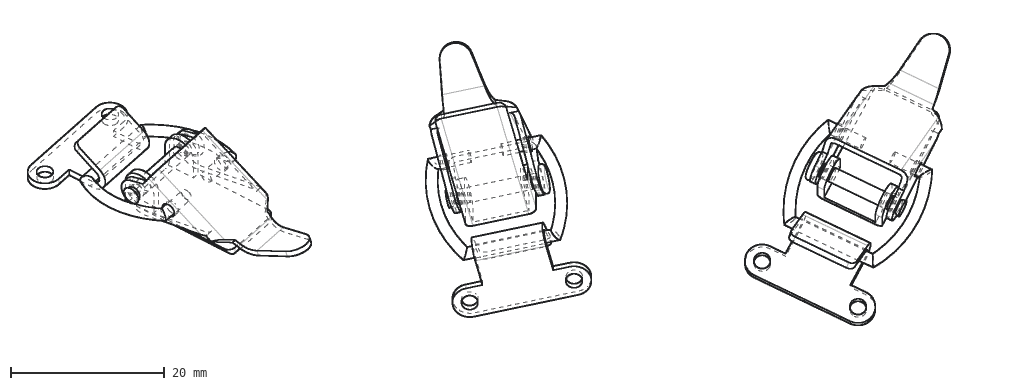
import cadquery as cq
import math


def polar(center, radius, degrees):
    """Point at a distance from a centre, in a direction counted from the first axis."""
    angle = math.radians(degrees)
    return (center[0] + radius * math.cos(angle), center[1] + radius * math.sin(angle))


KEEPER_THICKNESS = 1.0
KEEPER_LENGTH = 18.5
KEEPER_WIDTH = 4.5
KEEPER_HOLE_DIAMETER = 2.15
TONGUE_WIDTH = 9.5
HOOK_X = 8.4
HOOK_INNER_RADIUS = 1.0
HOOK_OUTER_RADIUS = HOOK_INNER_RADIUS + KEEPER_THICKNESS
HOOK_SLOPE = 32.5
HOOK_LEG_LENGTH = 4.7
HOOK_CORNER_RADIUS = 0.85

BASE_START_X = 13.7
BASE_END_X = 30.8
BASE_WIDTH = TONGUE_WIDTH
BASE_THICKNESS = 1.0
BASE_CORNER_RADIUS = 1.0
EAR_RADIUS = 2.3

PIVOT_X = BASE_START_X + EAR_RADIUS
PIVOT_Z = 4.03
PIN_RADIUS = 1.0
PIN_HEAD_RADIUS = 2.0
PIN_HEAD_HEIGHT = 0.8
PIN_TAIL_RADIUS = 1.2
PIN_TAIL_HEIGHT = 0.55

LEVER_SLOPE = 31.2
LEVER_WIDTH = 11.97
LEVER_THICKNESS = 0.8
LEVER_TOP = 5.9
LEVER_BEND_RADIUS = 1.28
LEVER_EAR_RADIUS = 2.05
LEVER_EAR_SLOPE = 45.0
WALL_EDGE_U = 2.35
WALL_EDGE_SLOPE = 41.0
WALL_EDGE_RADIUS = 3.0
SHOULDER_START_U = 11.57
SHOULDER_END_U = 13.55

TAB_ROOT_WIDTH = 6.95
TAB_BEND_U = 14.4
TAB_BEND_INNER_RADIUS = 2.65
TAB_BEND_ANGLE = 52.5
TAB_BEND_START_WIDTH = 6.62
TAB_BEND_END_WIDTH = 5.7
TAB_LENGTH = 6.35
TAB_TIP_RADIUS = 2.15
TAB_TAPER = 7.7

WIRE_RADIUS = 0.8
WIRE_HOLE_RADIUS = 1.0
BAIL_HOOK_Z = 2.15
BAIL_LEVER_X = 21.65
BAIL_LEVER_Z = 4.15
BAIL_BULGE_HALF_WIDTH = 8.25
BAIL_BULGE_DISTANCE = 7.65
BAIL_ARC_RADIUS = 14.45
BAIL_END_Y = 2.15


def make_keeper():
    plate = (
        cq.Workplane("XY")
        .center(KEEPER_WIDTH / 2, 0)
        .slot2D(KEEPER_LENGTH, KEEPER_WIDTH, 90)
        .extrude(KEEPER_THICKNESS)
    )
    hook_center = (HOOK_X, HOOK_OUTER_RADIUS)
    leg_normal = 90 - HOOK_SLOPE
    leg_direction = 180 - HOOK_SLOPE
    bend_middle = (leg_normal - 90) / 2
    outer_end = polar(hook_center, HOOK_OUTER_RADIUS, leg_normal)
    inner_end = polar(hook_center, HOOK_INNER_RADIUS, leg_normal)
    tongue = (
        cq.Workplane("XZ", origin=(0, TONGUE_WIDTH / 2, 0))
        .moveTo(KEEPER_WIDTH / 2, 0)
        .lineTo(HOOK_X, 0)
        .threePointArc(polar(hook_center, HOOK_OUTER_RADIUS, bend_middle), outer_end)
        .lineTo(*polar(outer_end, HOOK_LEG_LENGTH, leg_direction))
        .lineTo(*polar(inner_end, HOOK_LEG_LENGTH, leg_direction))
        .lineTo(*inner_end)
        .threePointArc(
            polar(hook_center, HOOK_INNER_RADIUS, bend_middle), (HOOK_X, KEEPER_THICKNESS)
        )
        .lineTo(KEEPER_WIDTH / 2, KEEPER_THICKNESS)
        .close()
        .extrude(TONGUE_WIDTH)
    )
    along_x, along_z = polar((0, 0), 1, leg_direction)
    normal_x, normal_z = polar((0, 0), 1, leg_normal)
    tongue = (
        tongue.faces(cq.selectors.DirectionMinMaxSelector(cq.Vector(along_x, 0, along_z), True))
        .edges(cq.selectors.ParallelDirSelector(cq.Vector(normal_x, 0, normal_z)))
        .fillet(HOOK_CORNER_RADIUS)
    )
    hole_spacing = KEEPER_LENGTH - KEEPER_WIDTH
    holes = (
        cq.Workplane("XY")
        .center(KEEPER_WIDTH / 2, 0)
        .rarray(0.4, hole_spacing, 1, 2)
        .circle(KEEPER_HOLE_DIAMETER / 2)
        .extrude(KEEPER_THICKNESS)
    )
    return plate.union(tongue).cut(holes)


def make_base():
    length = BASE_END_X - BASE_START_X
    height = PIVOT_Z + EAR_RADIUS
    middle = cq.Workplane("XY", origin=(BASE_START_X + length / 2, 0, 0))
    floor = (
        middle.rect(length, BASE_WIDTH)
        .extrude(BASE_THICKNESS)
        .edges("|Z and >X")
        .fillet(BASE_CORNER_RADIUS)
    )
    ears = (
        cq.Workplane("XZ", origin=(PIVOT_X, BASE_WIDTH / 2, 0))
        .moveTo(-EAR_RADIUS, 0)
        .lineTo(EAR_RADIUS, 0)
        .lineTo(EAR_RADIUS, PIVOT_Z)
        .threePointArc((0, height), (-EAR_RADIUS, PIVOT_Z))
        .close()
        .extrude(BASE_WIDTH)
    )
    between_ears = (
        cq.Workplane("XY", origin=(PIVOT_X, 0, BASE_THICKNESS))
        .rect(2 * EAR_RADIUS, BASE_WIDTH - 2 * BASE_THICKNESS)
        .extrude(height)
    )
    rounded_envelope = (
        middle.rect(length, BASE_WIDTH)
        .extrude(height)
        .edges("|X and <Z")
        .fillet(BASE_THICKNESS)
    )
    pin_hole = (
        cq.Workplane("XZ", origin=(PIVOT_X, BASE_WIDTH / 2, PIVOT_Z))
        .circle(PIN_RADIUS)
        .extrude(BASE_WIDTH)
    )
    return floor.union(ears).intersect(rounded_envelope).cut(between_ears).cut(pin_hole)


def make_lever_channel():
    """Sheet with two side walls, in the lever frame."""
    section_height = LEVER_TOP + LEVER_EAR_RADIUS
    length = TAB_BEND_U + LEVER_EAR_RADIUS

    def solid_channel(width, top, radius):
        return (
            cq.Workplane("YZ", origin=(-LEVER_EAR_RADIUS, 0, top - section_height / 2))
            .rect(width, section_height)
            .extrude(length)
            .edges("|X and >Z")
            .fillet(radius)
        )

    channel = solid_channel(LEVER_WIDTH, LEVER_TOP, LEVER_BEND_RADIUS).cut(
        solid_channel(
            LEVER_WIDTH - 2 * LEVER_THICKNESS,
            LEVER_TOP - LEVER_THICKNESS,
            LEVER_BEND_RADIUS - LEVER_THICKNESS,
        )
    )
    return channel.intersect(make_lever_side()).intersect(make_lever_plan())


def make_lever_side():
    """Side outline of the walls and the sheet, as a prism across the lever."""
    sheet_bottom = LEVER_TOP - LEVER_THICKNESS
    rise = sheet_bottom + LEVER_EAR_RADIUS
    wall_end_u = WALL_EDGE_U + rise / math.tan(math.radians(WALL_EDGE_SLOPE))
    tangent = WALL_EDGE_RADIUS * math.tan(math.radians(WALL_EDGE_SLOPE / 2))
    corner = (WALL_EDGE_U, -LEVER_EAR_RADIUS)
    round_center = (WALL_EDGE_U - tangent, WALL_EDGE_RADIUS - LEVER_EAR_RADIUS)
    return (
        cq.Workplane("XZ", origin=(0, LEVER_WIDTH / 2, 0))
        .moveTo(0, LEVER_TOP)
        .lineTo(0, LEVER_EAR_RADIUS / math.cos(math.radians(LEVER_EAR_SLOPE)))
        .lineTo(*polar((0, 0), LEVER_EAR_RADIUS, 90 + LEVER_EAR_SLOPE))
        .threePointArc((-LEVER_EAR_RADIUS, 0), (0, -LEVER_EAR_RADIUS))
        .lineTo(WALL_EDGE_U - tangent, -LEVER_EAR_RADIUS)
        .threePointArc(
            polar(round_center, WALL_EDGE_RADIUS, WALL_EDGE_SLOPE / 2 - 90),
            polar(corner, tangent, WALL_EDGE_SLOPE),
        )
        .lineTo(wall_end_u, sheet_bottom)
        .lineTo(TAB_BEND_U, sheet_bottom)
        .lineTo(TAB_BEND_U, LEVER_TOP)
        .close()
        .extrude(LEVER_WIDTH)
    )


def make_lever_plan():
    """Outline of the lever seen square to its sheet, as a prism."""
    return (
        cq.Workplane("XY", origin=(0, 0, -LEVER_EAR_RADIUS))
        .moveTo(-LEVER_EAR_RADIUS, 0)
        .lineTo(-LEVER_EAR_RADIUS, LEVER_WIDTH / 2)
        .lineTo(SHOULDER_START_U, LEVER_WIDTH / 2)
        .lineTo(SHOULDER_END_U, TAB_ROOT_WIDTH / 2)
        .lineTo(TAB_BEND_U, TAB_BEND_START_WIDTH / 2)
        .lineTo(TAB_BEND_U, 0)
        .mirrorX()
        .extrude(LEVER_TOP + LEVER_EAR_RADIUS)
    )


def make_tab():
    """Upturned finger tab, in the lever frame."""
    middle_radius = TAB_BEND_INNER_RADIUS + LEVER_THICKNESS / 2
    bend_center = (TAB_BEND_U, LEVER_TOP + TAB_BEND_INNER_RADIUS)
    start = polar(bend_center, middle_radius, -90)
    end = polar(bend_center, middle_radius, TAB_BEND_ANGLE - 90)
    tab_along = polar((0, 0), 1, TAB_BEND_ANGLE)
    end_plane = cq.Plane(
        origin=(end[0], 0, end[1]), xDir=(0, 1, 0), normal=(tab_along[0], 0, tab_along[1])
    )
    start_plane = cq.Plane(origin=(start[0], 0, start[1]), xDir=(0, 1, 0), normal=(1, 0, 0))
    path = (
        cq.Workplane("XZ")
        .moveTo(*start)
        .threePointArc(polar(bend_center, middle_radius, TAB_BEND_ANGLE / 2 - 90), end)
    )
    start_section = cq.Workplane(start_plane).rect(TAB_BEND_START_WIDTH, LEVER_THICKNESS).val()
    end_section = cq.Workplane(end_plane).rect(TAB_BEND_END_WIDTH, LEVER_THICKNESS).val()
    bend = cq.Workplane(cq.Solid.sweep_multi([start_section, end_section], path.val()))

    tip_center = (TAB_LENGTH - TAB_TIP_RADIUS, 0)
    tip_side = polar(tip_center, TAB_TIP_RADIUS, 90 - TAB_TAPER)
    lower = polar(bend_center, TAB_BEND_INNER_RADIUS + LEVER_THICKNESS, TAB_BEND_ANGLE - 90)
    tab_plane = cq.Plane(
        origin=(lower[0], 0, lower[1]),
        xDir=(tab_along[0], 0, tab_along[1]),
        normal=(-tab_along[1], 0, tab_along[0]),
    )
    straight = (
        cq.Workplane(tab_plane)
        .moveTo(0, -TAB_BEND_END_WIDTH / 2)
        .lineTo(tip_side[0], -tip_side[1])
        .threePointArc((TAB_LENGTH, 0), tip_side)
        .lineTo(0, TAB_BEND_END_WIDTH / 2)
        .close()
        .extrude(LEVER_THICKNESS)
    )
    return bend.union(straight)


def make_pin():
    """Riveted pivot pin along Y, in the lever frame."""
    half = LEVER_WIDTH / 2
    shank = cq.Workplane("XZ", origin=(0, half, 0)).circle(PIN_RADIUS).extrude(LEVER_WIDTH)
    flat_radius = PIN_HEAD_RADIUS - PIN_HEAD_HEIGHT / 2
    head = (
        cq.Workplane("XY")
        .moveTo(0, half)
        .lineTo(flat_radius, half)
        .threePointArc(
            (PIN_HEAD_RADIUS, half + PIN_HEAD_HEIGHT / 2), (flat_radius, half + PIN_HEAD_HEIGHT)
        )
        .lineTo(0, half + PIN_HEAD_HEIGHT)
        .close()
        .revolve(360, (0, 0, 0), (0, 1, 0))
    )
    tail = (
        cq.Workplane("XZ", origin=(0, -half, 0))
        .circle(PIN_RADIUS)
        .workplane(offset=PIN_TAIL_HEIGHT)
        .circle(PIN_TAIL_RADIUS)
        .loft()
    )
    return shank.union(head).union(tail)


def make_lever():
    """Lever with its riveted pin, tilted about the pivot."""
    lever = make_lever_channel().union(make_tab()).union(make_pin())
    lever = lever.rotate((0, 0, 0), (0, 1, 0), LEVER_SLOPE).translate((PIVOT_X, 0, PIVOT_Z))
    wire_holes = (
        cq.Workplane("XZ", origin=(BAIL_LEVER_X, LEVER_WIDTH / 2, BAIL_LEVER_Z))
        .circle(WIRE_HOLE_RADIUS)
        .extrude(LEVER_WIDTH)
    )
    return lever.cut(wire_holes)


def half_space(point, degrees):
    """Large block in the loop plane, starting at a point and reaching towards a heading."""
    size = 4 * BAIL_ARC_RADIUS
    return (
        cq.Workplane("XY")
        .box(size, size, size)
        .translate((size / 2, 0, 0))
        .rotate((0, 0, 0), (0, 0, 1), degrees)
        .translate((*point, 0))
    )


def make_half_bail(reach):
    """Mitred half loop lying in XY, with the hook run on the Y axis."""
    arc_center = (BAIL_BULGE_DISTANCE, BAIL_BULGE_HALF_WIDTH - BAIL_ARC_RADIUS)
    hook_heading = math.degrees(math.asin(BAIL_BULGE_DISTANCE / BAIL_ARC_RADIUS))
    lever_heading = -math.degrees(math.asin((reach - BAIL_BULGE_DISTANCE) / BAIL_ARC_RADIUS))
    hook_corner = polar(arc_center, BAIL_ARC_RADIUS, 90 + hook_heading)
    lever_corner = polar(arc_center, BAIL_ARC_RADIUS, 90 + lever_heading)
    hook_miter = (90 + hook_heading) / 2
    lever_miter = (lever_heading - 90) / 2
    overrun = 2 * WIRE_RADIUS

    def straight_run(x, start_y, end_y):
        return (
            cq.Workplane("XZ", origin=(x, start_y, 0))
            .circle(WIRE_RADIUS)
            .extrude(start_y - end_y)
        )

    hook_run = straight_run(0, 0, hook_corner[1] + overrun).cut(half_space(hook_corner, hook_miter))
    lever_run = straight_run(reach, BAIL_END_Y, lever_corner[1] + overrun).intersect(
        half_space(lever_corner, lever_miter)
    )
    ring = cq.Workplane(cq.Solid.makeTorus(BAIL_ARC_RADIUS, WIRE_RADIUS)).translate((*arc_center, 0))
    arc_run = (
        ring.intersect(half_space((0, 0), 90))
        .intersect(half_space(hook_corner, hook_miter))
        .cut(half_space(lever_corner, lever_miter))
    )
    return hook_run.union(arc_run).union(lever_run)


def make_bail():
    run_x = BAIL_LEVER_X - HOOK_X
    run_z = BAIL_LEVER_Z - BAIL_HOOK_Z
    half = make_half_bail(math.hypot(run_x, run_z))
    loop_slope = math.degrees(math.atan2(run_z, run_x))
    return (
        half.union(half.mirror("XZ"))
        .rotate((0, 0, 0), (0, 1, 0), -loop_slope)
        .translate((HOOK_X, 0, BAIL_HOOK_Z))
    )


keeper = make_keeper()
base = make_base()
lever = make_lever()
bail = make_bail()
result = cq.Compound.makeCompound([body.solids().val() for body in (keeper, base, lever, bail)])